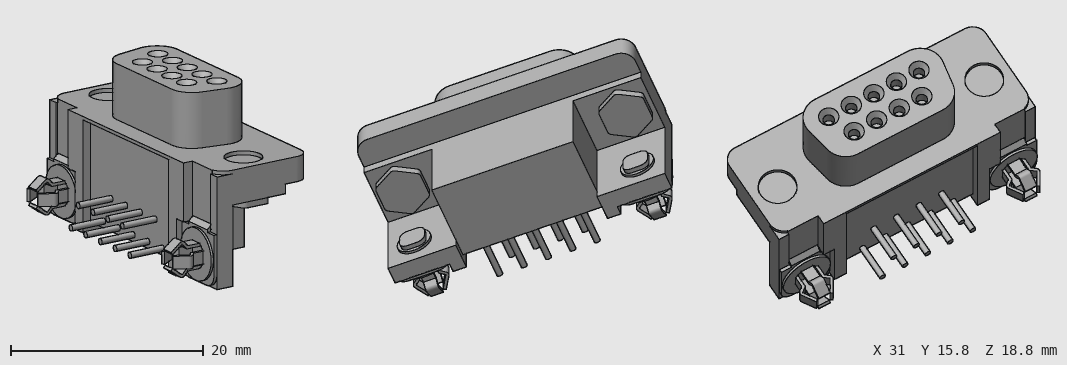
import cadquery as cq
import math


length = 31.0
half_length = length / 2
flange_top = 12.7
flange_back = 12.55
flange_bottom = 9.95
flange_corner_radius = 1.6
shoulder_back = 9.5
shoulder_bottom = 8.9
leg_back = 2.9
window_half_width = 7.9
body_bottom = 1.02
window_depth = 0.93
window_top = 12.33

clip_x = 12.5
clip_z = 3.2
pocket_depth = 0.95
pocket_inner_x = 9.4
pocket_top = 6.25
slot_depth = 1.12
slot_width = 3.63
corner_cut_depth = 0.4
corner_cut_radius = 1.75

shell_height = 6.1
shell_front = 2.32
shell_depth = 7.9
shell_front_half_width = 7.22
shell_draft = 10
shell_corner_radius = 2.5

contact_pitch = 2.73
contact_row_pitch = 2.85
contact_counts = (5, 4)
row_center_y = shell_front + shell_depth / 2
socket_mouth_radius = 1.05
socket_radius = 0.6
socket_cone_depth = 0.65
socket_depth = 1.85
pin_radius = 0.35
pin_tip = -3.2
pin_embed = 0.3
pin_row_z = (1.8, 4.62)

mount_radius = 2.0
mount_depth = 0.43
nut_side = 2.88
nut_height = 0.87
nut_corner_radius = 0.53

plate_width = 5.9
plate_thickness = 0.37
plate_bottom = 0.15
plate_top = 5.98
plate_corner_radius = 1.4
tab_width = 3.47
disc_radius = 2.85
disc_thickness = 0.28
tube_size = 2.75
tube_chamfer = 0.68

arm_width = tube_size - 2 * tube_chamfer
sheet = 0.35
arm_apex_offset = 2.1
arm_apex_radius = 0.43
arm_tip = -3.25
arm_tip_offset = 1.02
side_arm_bend = -0.9
side_arm_apex = -1.5
upright_arm_bend = -1.12
upright_arm_apex = -1.83

rivet_radius = 1.85
rivet_thickness = 0.28
rivet_boss_height = 0.5
rivet_boss_radius = 0.87

plate_front = pocket_depth - plate_thickness
disc_front = plate_front - disc_thickness


def box(x0, x1, y0, y1, z0, z1):
    """Axis-aligned box between two opposite corners."""
    return cq.Workplane("XY").box(x1 - x0, y1 - y0, z1 - z0, centered=False).translate((x0, y0, z0))


def y_plane(y):
    """Sketch plane facing +Y, with local x and y running along -X and Z."""
    return cq.Workplane(cq.Plane(origin=(0, y, 0), xDir=(-1, 0, 0), normal=(0, 1, 0)))


def make_housing():
    """Flange, shoulder block, legs and central body, with the recessed board window."""
    flange = box(-half_length, half_length, 0, flange_back, flange_bottom, flange_top)
    flange = flange.edges("|Z and >Y").fillet(flange_corner_radius)
    shoulder = box(-half_length, half_length, 0, shoulder_back, shoulder_bottom, flange_bottom)
    legs = box(-half_length, half_length, 0, leg_back, 0, shoulder_bottom)
    gap = box(-window_half_width, window_half_width, 0, leg_back, 0, shoulder_bottom)
    body = box(-window_half_width, window_half_width, 0, shoulder_back, body_bottom, shoulder_bottom)
    window = box(-window_half_width, window_half_width, 0, window_depth, body_bottom, window_top)
    return flange.union(shoulder).union(legs.cut(gap)).union(body).cut(window)


def make_shell():
    """D-shaped tower that holds the sockets."""
    shell_back = shell_front + shell_depth
    back_half_width = shell_front_half_width + shell_depth * math.tan(math.radians(shell_draft))
    corners = [
        (-shell_front_half_width, shell_front),
        (shell_front_half_width, shell_front),
        (back_half_width, shell_back),
        (-back_half_width, shell_back),
    ]
    shell = cq.Workplane("XY").workplane(offset=flange_top).polyline(corners).close().extrude(shell_height)
    return shell.edges("|Z").fillet(shell_corner_radius)


def row_positions(count):
    """X positions of one row of contacts, centred on the part."""
    return [(i - (count - 1) / 2) * contact_pitch for i in range(count)]


def make_sockets():
    """Countersunk socket holes in the top of the shell, the longer row at the back."""
    half_profile = [
        (0, 0),
        (socket_mouth_radius, 0),
        (socket_radius, -socket_cone_depth),
        (socket_radius, -socket_depth),
        (0, -socket_depth),
    ]
    socket = cq.Workplane("XZ").polyline(half_profile).close().revolve(360, (0, 0), (0, 1))
    sockets = cq.Workplane("XY")
    for count, side in zip(contact_counts, (1, -1)):
        y = row_center_y + side * contact_row_pitch / 2
        for x in row_positions(count):
            sockets = sockets.add(socket.translate((x, y, flange_top + shell_height)))
    return sockets.combine()


def make_pins():
    """Straight solder pins standing out of the window floor."""
    points = [(x, z) for count, z in zip(contact_counts, pin_row_z) for x in row_positions(count)]
    return y_plane(pin_tip).pushPoints(points).circle(pin_radius).extrude(window_depth + pin_embed - pin_tip)


def make_end_cuts():
    """Material removed around the clip at the +X end: pocket, slot, corner and mounting hole."""
    pocket = box(pocket_inner_x, half_length, 0, pocket_depth, 0, pocket_top)
    slot_outer_x = clip_x + slot_width / 2
    slot = box(clip_x - slot_width / 2, slot_outer_x, 0, slot_depth, pocket_top, flange_top)
    side_step = box(slot_outer_x, half_length, 0, pocket_depth, pocket_top, flange_top)

    cut_bottom = flange_top - corner_cut_depth
    arc_x = half_length - corner_cut_radius
    arc_y = slot_depth + corner_cut_radius
    corner = box(slot_outer_x, half_length, 0, arc_y, cut_bottom, flange_top)
    rounded = (
        cq.Workplane("XY", origin=(arc_x, arc_y, cut_bottom))
        .circle(corner_cut_radius)
        .extrude(corner_cut_depth)
    )
    mount = (
        cq.Workplane("XY", origin=(clip_x, row_center_y, flange_top - mount_depth))
        .circle(mount_radius)
        .extrude(mount_depth)
    )
    return pocket.union(slot).union(side_step).union(corner.cut(rounded)).union(mount)


def make_nut():
    """Rounded hexagonal nut under the shoulder, with two flats facing +X and -X."""
    nut = (
        cq.Workplane("XY", origin=(clip_x, row_center_y, shoulder_bottom - nut_height))
        .transformed(rotate=(0, 0, 30))
        .polygon(6, 2 * nut_side)
        .extrude(nut_height)
    )
    return nut.edges("|Z").fillet(nut_corner_radius)


def strip_outline(outer, thickness):
    """Closed outline of a bent sheet: the outer line and its mitred offset to the right."""
    angles = [math.atan2(b[1] - a[1], b[0] - a[0]) for a, b in zip(outer, outer[1:])]
    before = [angles[0]] + angles
    after = angles + [angles[-1]]
    inner = []
    for (u, v), first, second in zip(outer, before, after):
        middle = (first + second) / 2
        reach = thickness / math.cos((second - first) / 2)
        inner.append((u + reach * math.sin(middle), v - reach * math.cos(middle)))
    return outer + inner[::-1]


def make_arm(bend_y, apex_y):
    """Barbed spring arm on the +X side of the clip axis, rounded at its widest point."""
    outer = [
        (tube_size / 2, plate_front),
        (tube_size / 2, bend_y),
        (arm_apex_offset, apex_y),
        (arm_tip_offset, arm_tip),
    ]
    outline = strip_outline(outer, sheet)
    arm = cq.Workplane("XY").polyline(outline).close().extrude(arm_width / 2, both=True)
    return arm.edges("|Z and >X").fillet(arm_apex_radius)


def make_clip():
    """Board clip on the Y axis at Z = 0: plate, tab, disc, spring arms and rivet."""
    half_plate = plate_width / 2
    plate = box(-half_plate, half_plate, plate_front, pocket_depth, plate_bottom - clip_z, plate_top - clip_z)
    plate = plate.edges("|Y and <Z").fillet(plate_corner_radius)
    tab_profile = [
        (plate_front, plate_top - clip_z),
        (plate_front, pocket_top - clip_z),
        (slot_depth, pocket_top - clip_z + slot_depth - plate_front),
        (slot_depth, plate_top - clip_z),
    ]
    tab = cq.Workplane("YZ").polyline(tab_profile).close().extrude(tab_width / 2, both=True)
    disc = y_plane(disc_front).circle(disc_radius).extrude(disc_thickness)
    opening = y_plane(disc_front).rect(tube_size, tube_size).extrude(disc_thickness)
    opening = opening.edges("|Y").chamfer(tube_chamfer)
    rivet = y_plane(leg_back).circle(rivet_radius).extrude(rivet_thickness)
    boss = y_plane(leg_back + rivet_thickness).rect(tube_size, tube_size).extrude(rivet_boss_height)
    boss = boss.edges("|Y").fillet(rivet_boss_radius)
    clip = plate.union(tab).union(disc.cut(opening)).union(rivet).union(boss)

    side_arm = make_arm(side_arm_bend, side_arm_apex)
    upright_arm = make_arm(upright_arm_bend, upright_arm_apex)
    for arm, angle in ((side_arm, 0), (upright_arm, 90), (side_arm, 180), (upright_arm, 270)):
        clip = clip.union(arm.rotate((0, 0, 0), (0, 1, 0), angle))
    return clip


housing = make_housing().union(make_shell()).cut(make_sockets()).union(make_pins())
end_cuts = make_end_cuts()
housing = housing.cut(end_cuts).cut(end_cuts.mirror("YZ"))

nut = make_nut()
clip = make_clip()
result = housing.union(nut).union(nut.mirror("YZ"))
for side in (-1, 1):
    result = result.union(clip.translate((side * clip_x, 0, clip_z)))